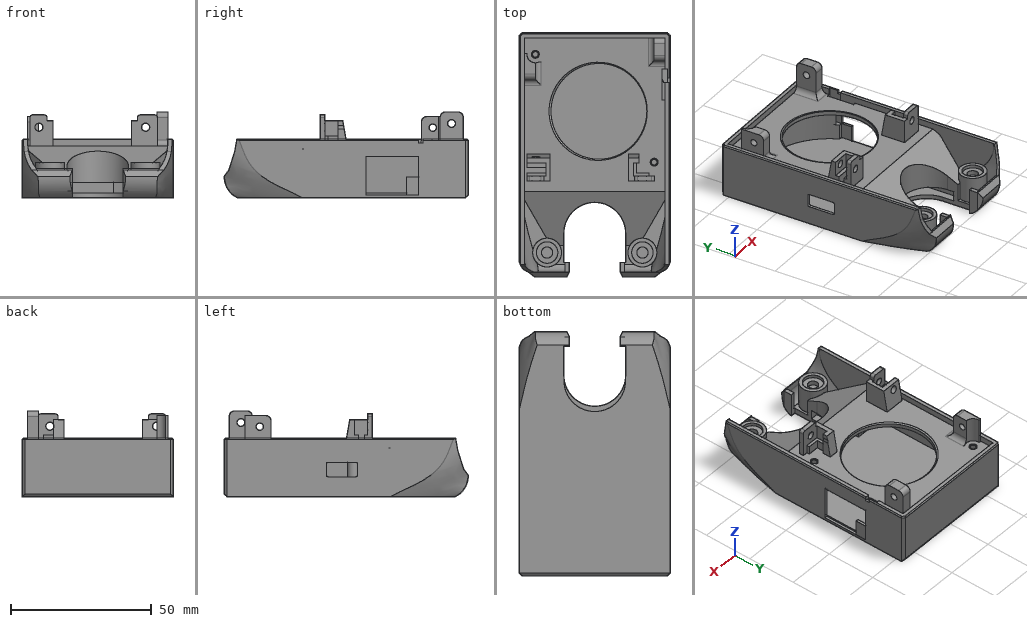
import cadquery as cq
import math

WIDTH = 53.6
LENGTH = 86.75
RIM_Z = 20.8
WALL = 1.8
FLOOR_Z = 1.65
DECK_Z = 18.5
DECK_THICKNESS = 1.7
HALF_WIDTH = WIDTH / 2
INNER_X = HALF_WIDTH - WALL
INNER_BACK = LENGTH - WALL
CEILING_Z = DECK_Z - DECK_THICKNESS
BACK_CHAMFER = 1.0
RIM_CHAMFER = 0.4

CHIN_RADIUS = 8.5
CHIN_TOP_Z = 7.6

CORNER_SECTIONS = [
    (0, 27.8, (23.25, 13.5), (20.5, 4.8)),
    (CHIN_TOP_Z / 2, 19.95, (24.2, 9.5), (21.0, 0.9)),
    (CHIN_TOP_Z, 13.45, (24.8, 6.3), (21.3, 0)),
    (13.9, 8.1, (25.5, 2.9), (23.4, -1.7)),
    (RIM_Z, 5.2, (26.2, 3.9), (25.2, 1.7)),
]
INNER_CORNER_SHIFT = (1.2, 1.3)
OUTER_CORNER = (39.0, -13.0)

LIP_TOP_Z = 9.8
RIM_LINE = [(0, CHIN_TOP_Z), (1.65, LIP_TOP_Z), (3.7, 16.4), (4.5, RIM_Z)]

SLOPE_START_Y = 30.4
SLOPE = 0.49
POCKET_FLOOR_Z = 2.3
POCKET_SIDE_Y = 27.4
POCKET_BACK_Y = 11.1
POCKET_BACK_X = INNER_X - (POCKET_SIDE_Y - POCKET_BACK_Y) * math.tan(math.radians(30))

ARCH_RADIUS = 10.9
ARCH_TOP_Y = 26.5
BASE_ARCH_TOP_Y = 28.4
LIP_GAP = 18.05
LIP_DEPTH = 5.2
LIP_RETURN = 1.6
LIP_CHAMFER = 0.9

CAVITY_FRONT_Y = 32.1
DUCT_FRONT_Y = 12.9
DUCT_HALF_WIDTH = 13.9
DUCT_TOP_Z = 5.5
THIN_WALL = 1.0
CAVITY_X = HALF_WIDTH - THIN_WALL
CORNER_RADIUS = 25.4
CORNER_START_X = 5.55

OPENING_TOP_DIAMETER = 34.9
OPENING_DIAMETER = 34.0
OPENING_X = 1.2
OPENING_Y = 58.8
OPENING_OFFSET = 0.3
LEAD_IN_DEPTH = 0.3

POST_PLACES = [(-21.1, 79.0), (21.1, 40.8)]
POST_DIAMETER = 4.2
POST_RIM_DIAMETER = 2.8
POST_HOLE_DIAMETER = 2.0
POST_RIM_DEPTH = 0.35
POST_HOLE_DEPTH = 6.9

BOSS_X = 16.9
BOSS_Y = 8.7
BOSS_DIAMETER = 10.2
BOSS_TOP_Z = 12.5
BOSS_RECESS_DIAMETER = 7.6
BOSS_RECESS_DEPTH = 1.2
BOSS_HOLE_DIAMETER = 4.0
BOSS_HOLE_DEPTH = 1.8

TAB_WIDTH = 4.0
TAB_ROUND = 2.0
LEFT_TAB_Y = (70.0, 79.3)
LEFT_TAB_TOP_Z = 28.9
LEFT_TAB_HOLE = (74.1, 24.9, 2.5)
LEFT_TAB_BASE_BACK_Y = 76.3
POST_CLEARANCE_DIAMETER = 6.0
RIGHT_TAB_Y = (76.7, INNER_BACK)
RIGHT_TAB_TOP_Z = 30.5
RIGHT_TAB_HOLE = (80.8, 26.4, 2.7)

CLIP_Y = (34.1, 43.7)
CLIP_TOP_Z = 27.4
CLIP_BACK_DRAFT = 1.6
CLIP_PLATE = 1.7
CLIP_PLATE_TOP_Z = 29.5
CLIP_PLATE_ROUND = 1.0
CLIP_POCKET_BACK_Y = 40.4
CLIP_LEDGE = 1.1
CLIP_LEDGE_Z = 21.9
CLIP_HOLE_Z = 25.1
CLIP_HOLE_DIAMETER = 2.8
LEFT_CLIP_X = (-24.1, -15.9)
LEFT_CLIP_PLATE_X = (-24.1, -18.0)
LEFT_CLIP_INNER_X = -17.35
LEFT_CLIP_BACK_LEDGE = 1.5
LEFT_CLIP_HOLE_X = -20.9
RIGHT_CLIP_X = (12.0, 21.25)
RIGHT_CLIP_PLATE_X = (14.05, 21.25)
RIGHT_CLIP_INNER_X = 13.7
RIGHT_CLIP_BACK_END_X = 15.8
RIGHT_CLIP_LEDGE_END_X = 19.3
RIGHT_CLIP_HOLE_X = 17.0

WINDOW_Y = (39.3, 50.4)
WINDOW_Z = (7.1, 12.2)
WINDOW_ROUND = 0.7

SLOT_X = (23.9, CAVITY_X)
SLOT_Y = (69.05, 73.8)
SIDE_OPENING_Y = (WINDOW_Y[1], SLOT_Y[0])
SIDE_OPENING_Z = (1.0, 14.75)
RIM_NOTCH_Y = (SLOT_Y[0], 70.7)
RIM_NOTCH_Z = 19.5
DECK_SLOT_FRONT_Y = 62.9

BLOCK_FRONT_Y = 64.8
BLOCK_TOP_Z = 7.5

FRONT_CLEARANCE = 17.35


def box(x_range, y_range, z_range):
    """Box between two limits on each axis."""
    size = [limits[1] - limits[0] for limits in (x_range, y_range, z_range)]
    corner = (x_range[0], y_range[0], z_range[0])
    return cq.Workplane("XY").box(*size, centered=False).translate(corner)


def cylinder(x, y, z_bottom, z_top, diameter):
    """Upright cylinder between two heights."""
    return cq.Workplane("XY", origin=(x, y, z_bottom)).circle(diameter / 2).extrude(z_top - z_bottom)


def side_profile(x_range, outline):
    """Outline in (Y, Z) swept between two X positions."""
    return cq.Workplane("YZ", origin=(x_range[0], 0, 0)).polyline(outline).close().extrude(
        x_range[1] - x_range[0]
    )


def mirrored(shape):
    """A shape together with its mirror image across X = 0."""
    return shape.union(shape.mirror("YZ"))


def corner_section(z, start_y, middle, end):
    """Wire around what is trimmed from the right front corner at one height."""
    far_x, far_y = OUTER_CORNER
    return (
        cq.Workplane("XY", origin=(0, 0, z))
        .moveTo(HALF_WIDTH, start_y)
        .threePointArc(middle, end)
        .lineTo(end[0], far_y)
        .lineTo(far_x, far_y)
        .lineTo(far_x, start_y)
        .close()
        .val()
    )


def corner_trim():
    """Trim for the right front corner, sweeping further back towards the base."""
    sections = [corner_section(*section) for section in CORNER_SECTIONS]
    return cq.Workplane(cq.Solid.makeLoft(sections))


def chin_profile(half_width, front_y, base_z, top_z, back_y):
    """Block whose front face is the chin arc below its widest height and upright above."""
    radius = CHIN_RADIUS - front_y
    rise = CHIN_TOP_Z - base_z
    middle = math.asin(rise / radius) / 2
    foot_y = CHIN_RADIUS - math.sqrt(radius**2 - rise**2)
    return (
        cq.Workplane("YZ", origin=(-half_width, 0, 0))
        .moveTo(back_y, base_z)
        .lineTo(foot_y, base_z)
        .threePointArc(
            (CHIN_RADIUS - radius * math.cos(middle), CHIN_TOP_Z - radius * math.sin(middle)),
            (front_y, CHIN_TOP_Z),
        )
        .lineTo(front_y, top_z)
        .lineTo(back_y, top_z)
        .close()
        .extrude(2 * half_width)
    )


def outer_body():
    body = chin_profile(HALF_WIDTH, 0, 0, RIM_Z, LENGTH)
    body = body.edges("|Z and >Y").chamfer(BACK_CHAMFER)
    body = body.faces("<Z").edges(">Y").chamfer(BACK_CHAMFER)
    body = body.faces(">Z").edges("not <Y").chamfer(RIM_CHAMFER)
    return body.cut(mirrored(corner_trim()))


def upper_hollow():
    """Space above the deck, its slope and the front pockets."""
    slope_end_z = DECK_Z - SLOPE * SLOPE_START_Y
    above_deck = side_profile(
        (-INNER_X, INNER_X),
        [(0, slope_end_z), (SLOPE_START_Y, DECK_Z), (INNER_BACK, DECK_Z),
         (INNER_BACK, RIM_Z), (0, RIM_Z)],
    )
    pocket_outline = [
        (0, 0), (INNER_X, 0), (INNER_X, POCKET_SIDE_Y), (POCKET_BACK_X, POCKET_BACK_Y), (0, POCKET_BACK_Y),
    ]
    pocket = (
        cq.Workplane("XY", origin=(0, 0, POCKET_FLOOR_Z))
        .polyline(pocket_outline)
        .close()
        .extrude(RIM_Z - POCKET_FLOOR_Z)
    )
    inner_chin = chin_profile(INNER_X, WALL, POCKET_FLOOR_Z, RIM_Z, LENGTH)
    inner_trim = corner_trim().translate((-INNER_CORNER_SHIFT[0], INNER_CORNER_SHIFT[1], 0))
    hollow = above_deck.union(mirrored(pocket)).intersect(inner_chin)
    return hollow.cut(mirrored(inner_trim))


def front_opening():
    """Everything in front of the climbing rim line."""
    outline = [(-FRONT_CLEARANCE, CHIN_TOP_Z)] + RIM_LINE + [(-FRONT_CLEARANCE, RIM_Z)]
    return side_profile((-HALF_WIDTH, HALF_WIDTH), outline)


def arch():
    """Round-ended slot from the front, narrower between the lips and deeper through the floor."""
    centre_y = ARCH_TOP_Y - ARCH_RADIUS
    slot = box((-ARCH_RADIUS, ARCH_RADIUS), (LIP_DEPTH, centre_y), (0, RIM_Z))
    slot = slot.union(cylinder(0, centre_y, 0, RIM_Z, 2 * ARCH_RADIUS))
    base_centre_y = BASE_ARCH_TOP_Y - ARCH_RADIUS
    base_slot = box((-ARCH_RADIUS, ARCH_RADIUS), (LIP_DEPTH, base_centre_y), (0, FLOOR_Z))
    slot = slot.union(base_slot).union(cylinder(0, base_centre_y, 0, FLOOR_Z, 2 * ARCH_RADIUS))
    half_gap = LIP_GAP / 2
    gap = (
        cq.Workplane("XY")
        .polyline([(0, 0), (half_gap + LIP_CHAMFER, 0), (half_gap, 2 * LIP_CHAMFER),
                   (half_gap, LIP_DEPTH), (0, LIP_DEPTH)])
        .close()
        .extrude(RIM_Z)
    )
    return slot.union(mirrored(gap))


def cavity():
    """Space between floor and deck, with a low duct to the arch and the screw posts left standing."""
    space = box((-CAVITY_X, CAVITY_X), (CAVITY_FRONT_Y, INNER_BACK), (FLOOR_Z, CEILING_Z))
    round_part = cylinder(OPENING_X, OPENING_Y, FLOOR_Z, CEILING_Z, 2 * CORNER_RADIUS)
    back_corner = box((CORNER_START_X, CAVITY_X), (SLOT_Y[0], INNER_BACK), (FLOOR_Z, CEILING_Z)).cut(round_part)
    duct = box((-DUCT_HALF_WIDTH, DUCT_HALF_WIDTH), (DUCT_FRONT_Y, CAVITY_FRONT_Y), (FLOOR_Z, DUCT_TOP_Z))
    space = space.cut(back_corner).union(duct)
    for x, y in POST_PLACES:
        space = space.cut(cylinder(x, y, FLOOR_Z, CEILING_Z, POST_DIAMETER))
    return space


def deck_opening():
    hole_x = OPENING_X + OPENING_OFFSET
    lead_in_z = DECK_Z - LEAD_IN_DEPTH
    top = cq.Workplane("XY", origin=(OPENING_X, OPENING_Y, DECK_Z)).circle(OPENING_TOP_DIAMETER / 2)
    bottom = cq.Workplane("XY", origin=(hole_x, OPENING_Y, lead_in_z)).circle(OPENING_DIAMETER / 2)
    lead_in = cq.Workplane(cq.Solid.makeLoft([bottom.wires().val(), top.wires().val()], True))
    return lead_in.union(cylinder(hole_x, OPENING_Y, CEILING_Z, lead_in_z, OPENING_DIAMETER))


def post_hole(x, y):
    hole = cylinder(x, y, DECK_Z - POST_HOLE_DEPTH, DECK_Z, POST_HOLE_DIAMETER)
    return hole.union(cylinder(x, y, DECK_Z - POST_RIM_DEPTH, DECK_Z, POST_RIM_DIAMETER))


def boss():
    recess_z = BOSS_TOP_Z - BOSS_RECESS_DEPTH
    body = cylinder(BOSS_X, BOSS_Y, FLOOR_Z, BOSS_TOP_Z, BOSS_DIAMETER)
    body = body.cut(cylinder(BOSS_X, BOSS_Y, recess_z, BOSS_TOP_Z, BOSS_RECESS_DIAMETER))
    return body.cut(cylinder(BOSS_X, BOSS_Y, recess_z - BOSS_HOLE_DEPTH, recess_z, BOSS_HOLE_DIAMETER))


def lip_return():
    """Wall at the inner end of the lip, turned back along the arch."""
    half_gap = LIP_GAP / 2
    return box((half_gap, half_gap + LIP_RETURN), (WALL, LIP_DEPTH), (POCKET_FLOOR_Z, LIP_TOP_Z))


def tab(y_range, base_back_y, top_z, hole, rounded_edges):
    """Tab against the right wall with a flared base and a cross hole."""
    inner_face = INNER_X - TAB_WIDTH
    front_y, back_y = y_range
    upright = box((inner_face, INNER_X), y_range, (DECK_Z, top_z))
    upright = upright.faces(">Z").edges(rounded_edges).fillet(TAB_ROUND)
    flare_z = DECK_Z + TAB_ROUND
    base = box(
        (inner_face - TAB_ROUND, INNER_X), (front_y - TAB_ROUND, base_back_y), (DECK_Z, flare_z)
    )
    side_scoop = (
        cq.Workplane("XZ", origin=(inner_face - TAB_ROUND, back_y, flare_z))
        .circle(TAB_ROUND)
        .extrude(back_y - front_y + 2 * TAB_ROUND)
    )
    front_scoop = (
        cq.Workplane("YZ", origin=(inner_face - 2 * TAB_ROUND, front_y - TAB_ROUND, flare_z))
        .circle(TAB_ROUND)
        .extrude(TAB_WIDTH + 2 * TAB_ROUND)
    )
    hole_y, hole_z, hole_diameter = hole
    cross_hole = (
        cq.Workplane("YZ", origin=(inner_face, hole_y, hole_z)).circle(hole_diameter / 2).extrude(TAB_WIDTH)
    )
    return base.cut(side_scoop).cut(front_scoop).union(upright).cut(cross_hole)


def left_tab():
    body = tab(LEFT_TAB_Y, LEFT_TAB_BASE_BACK_Y, LEFT_TAB_TOP_Z, LEFT_TAB_HOLE, "<Y").mirror("YZ")
    post_x, post_y = POST_PLACES[0]
    return body.cut(cylinder(post_x, post_y, DECK_Z, LEFT_TAB_TOP_Z, POST_CLEARANCE_DIAMETER))


def right_tab():
    return tab(RIGHT_TAB_Y, INNER_BACK, RIGHT_TAB_TOP_Z, RIGHT_TAB_HOLE, "|X")


def clip_block(x_range, plate_x):
    """Clip with a leaning back face and a taller front plate."""
    front_y, back_y = CLIP_Y
    block = side_profile(
        x_range,
        [(front_y, DECK_Z), (back_y, DECK_Z), (back_y - CLIP_BACK_DRAFT, CLIP_TOP_Z), (front_y, CLIP_TOP_Z)],
    )
    plate = box(plate_x, (front_y, front_y + CLIP_PLATE), (DECK_Z, CLIP_PLATE_TOP_Z))
    return block.union(plate.faces(">Z").edges("|Y").fillet(CLIP_PLATE_ROUND))


def clip_hole(x):
    return (
        cq.Workplane("XZ", origin=(x, CLIP_Y[1], CLIP_HOLE_Z))
        .circle(CLIP_HOLE_DIAMETER / 2)
        .extrude(CLIP_Y[1] - CLIP_Y[0])
    )


def left_clip():
    """Clip open to the left, with a ledge on each side of its channel."""
    pocket_front = CLIP_Y[0] + CLIP_PLATE
    pocket_x = (LEFT_CLIP_X[0], LEFT_CLIP_INNER_X)
    pocket = box(pocket_x, (pocket_front, CLIP_POCKET_BACK_Y), (CLIP_LEDGE_Z, CLIP_TOP_Z))
    channel_y = (pocket_front + CLIP_LEDGE, CLIP_POCKET_BACK_Y - LEFT_CLIP_BACK_LEDGE)
    channel = box(pocket_x, channel_y, (DECK_Z, CLIP_LEDGE_Z))
    body = clip_block(LEFT_CLIP_X, LEFT_CLIP_PLATE_X)
    return body.cut(pocket).cut(channel).cut(clip_hole(LEFT_CLIP_HOLE_X))


def right_clip():
    """Clip open to the right, with a ledge along its front and left inner faces."""
    pocket_front = CLIP_Y[0] + CLIP_PLATE
    right_x = RIGHT_CLIP_X[1]
    pocket = box((RIGHT_CLIP_INNER_X, right_x), (pocket_front, CLIP_POCKET_BACK_Y), (CLIP_LEDGE_Z, CLIP_TOP_Z))
    channel_x = (RIGHT_CLIP_INNER_X + CLIP_LEDGE, right_x)
    channel_y = (pocket_front + CLIP_LEDGE, CLIP_POCKET_BACK_Y)
    channel = box(channel_x, channel_y, (DECK_Z, CLIP_LEDGE_Z))
    back_end = box((RIGHT_CLIP_BACK_END_X, right_x), (CLIP_POCKET_BACK_Y, CLIP_Y[1]), (DECK_Z, CLIP_TOP_Z))
    ledge_end = box((RIGHT_CLIP_LEDGE_END_X, right_x), (pocket_front, CLIP_Y[1]), (DECK_Z, CLIP_LEDGE_Z))
    body = clip_block(RIGHT_CLIP_X, RIGHT_CLIP_PLATE_X)
    body = body.cut(pocket).cut(channel).cut(back_end).cut(ledge_end)
    return body.cut(clip_hole(RIGHT_CLIP_HOLE_X))


def window():
    opening = box((-HALF_WIDTH, -INNER_X), WINDOW_Y, WINDOW_Z)
    return opening.edges("|X").fillet(WINDOW_ROUND)


def side_cuts():
    """Opening through the right wall and the key slot that drops into it from the rim."""
    opening = box((CAVITY_X, HALF_WIDTH), SIDE_OPENING_Y, SIDE_OPENING_Z)
    drop = box(SLOT_X, SLOT_Y, (BLOCK_TOP_Z, RIM_Z))
    deck_slot = box((SLOT_X[0], INNER_X), (DECK_SLOT_FRONT_Y, SLOT_Y[0]), (FLOOR_Z, DECK_Z))
    rim_notch = box((SLOT_X[1], HALF_WIDTH), RIM_NOTCH_Y, (RIM_NOTCH_Z, RIM_Z))
    return opening.union(drop).union(deck_slot).union(rim_notch)


def make_housing():
    body = outer_body().cut(upper_hollow()).cut(cavity()).union(mirrored(boss())).union(mirrored(lip_return()))
    body = body.cut(front_opening()).cut(arch()).cut(deck_opening())
    for x, y in POST_PLACES:
        body = body.cut(post_hole(x, y))
    for feature in (left_tab(), right_tab(), left_clip(), right_clip()):
        body = body.union(feature)
    return body.cut(window()).cut(side_cuts())


def make_block():
    """Low block standing in the back of the right wall opening."""
    return box((CAVITY_X, HALF_WIDTH), (BLOCK_FRONT_Y, SLOT_Y[0]), (SIDE_OPENING_Z[0], BLOCK_TOP_Z))


housing = make_housing()
block = make_block()
result = cq.Compound.makeCompound([*housing.vals(), block.val()])